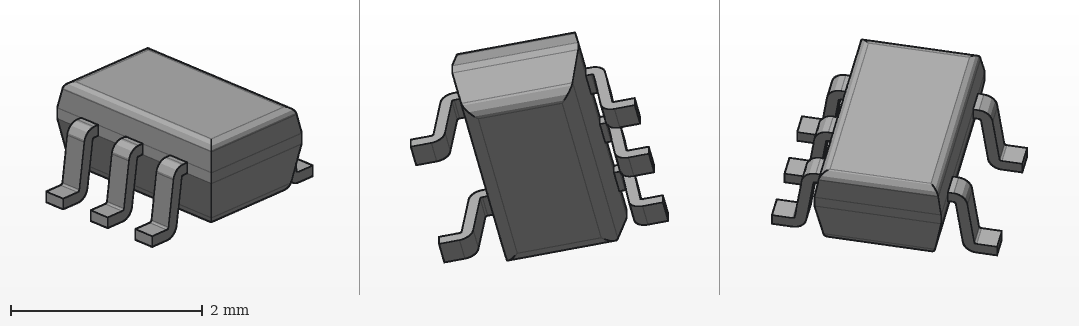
import cadquery as cq
import math

LEAD_SPAN = 2.4
TOTAL_HEIGHT = 1.1

BODY_LENGTH = 2.25
BODY_WIDTH = 1.35
STANDOFF = 0.1
DRAFT_ANGLE = 10.0
TOP_FILLET = 0.1
BOTTOM_FILLET = 0.15

LEAD_WIDTH = 0.25
LEAD_THICKNESS = 0.125
LEAD_TOP = 0.8
LEAD_PITCH = 0.65
INNER_BEND = 0.025
OUTER_BEND = INNER_BEND + LEAD_THICKNESS
LEG_ANGLE = 8.0
SHOULDER_LENGTH = 0.06

BELT_TOP = LEAD_TOP
BELT_BOTTOM = LEAD_TOP - LEAD_THICKNESS

FRONT_LEAD_X = (-LEAD_PITCH, 0, LEAD_PITCH)
REAR_LEAD_X = (-LEAD_PITCH, LEAD_PITCH)


def body_block(bottom, height, taper=0):
    """Rectangular block on the body outline; a negative height goes down."""
    return (
        cq.Workplane("XY", origin=(0, 0, bottom))
        .rect(BODY_LENGTH, BODY_WIDTH)
        .extrude(height, taper=taper)
    )


def make_body():
    """Straight belt with a drafted half above and below, edges rounded."""
    belt = body_block(BELT_BOTTOM, LEAD_THICKNESS)
    upper = body_block(BELT_TOP, TOTAL_HEIGHT - BELT_TOP, DRAFT_ANGLE)
    lower = body_block(BELT_BOTTOM, STANDOFF - BELT_BOTTOM, DRAFT_ANGLE)
    upper = upper.faces(">Z").edges().fillet(TOP_FILLET)
    lower = lower.faces("<Z").edges().fillet(BOTTOM_FILLET)
    return belt.union(upper).union(lower)


def polar(center, radius, angle):
    """Point at a radius and angle in degrees from a centre."""
    radians = math.radians(angle)
    return (center[0] + radius * math.cos(radians), center[1] + radius * math.sin(radians))


def make_lead(x):
    """Front lead centred on x: shoulder, sloping leg and foot, bent with two concentric bends."""
    body_face = -BODY_WIDTH / 2
    toe = -LEAD_SPAN / 2
    slope = math.radians(LEG_ANGLE)

    upper_z = LEAD_TOP - OUTER_BEND
    lower_z = OUTER_BEND
    upper_y = body_face - SHOULDER_LENGTH
    center_distance = OUTER_BEND + INNER_BEND
    drop = upper_z - lower_z
    lower_y = upper_y - (center_distance + drop * math.sin(slope)) / math.cos(slope)
    upper = (upper_y, upper_z)
    lower = (lower_y, lower_z)

    upper_end = 180 - LEG_ANGLE
    upper_mid = (90 + upper_end) / 2
    lower_end = -LEG_ANGLE
    lower_mid = (-90 + lower_end) / 2

    outline = (
        cq.Workplane("YZ", origin=(x - LEAD_WIDTH / 2, 0, 0))
        .moveTo(body_face, LEAD_TOP)
        .lineTo(*polar(upper, OUTER_BEND, 90))
        .threePointArc(polar(upper, OUTER_BEND, upper_mid), polar(upper, OUTER_BEND, upper_end))
        .lineTo(*polar(lower, INNER_BEND, lower_end))
        .threePointArc(polar(lower, INNER_BEND, lower_mid), polar(lower, INNER_BEND, -90))
        .lineTo(toe, LEAD_THICKNESS)
        .lineTo(toe, 0)
        .lineTo(*polar(lower, OUTER_BEND, -90))
        .threePointArc(polar(lower, OUTER_BEND, lower_mid), polar(lower, OUTER_BEND, lower_end))
        .lineTo(*polar(upper, INNER_BEND, upper_end))
        .threePointArc(polar(upper, INNER_BEND, upper_mid), polar(upper, INNER_BEND, 90))
        .lineTo(body_face, BELT_BOTTOM)
        .close()
    )
    return outline.extrude(LEAD_WIDTH)


body = make_body()
leads = [make_lead(x).val() for x in FRONT_LEAD_X]
for x in REAR_LEAD_X:
    leads.append(make_lead(x).mirror("XZ").val())

result = cq.Compound.makeCompound([body.val(), *leads])